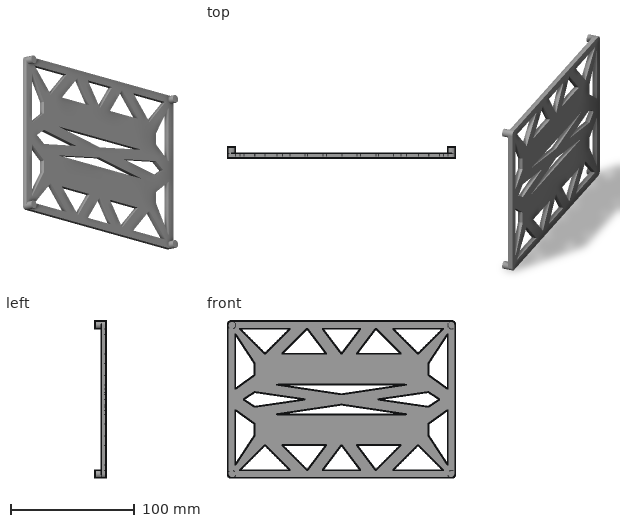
import cadquery as cq

LENGTH = 184.15
HEIGHT = 127.0
PLATE_THICKNESS = 4.0
OVERALL_DEPTH = 9.0

PEG_DIAMETER = 6.35

BORDER = 6.35
INNER_X = LENGTH / 2 - BORDER
INNER_Z = HEIGHT / 2 - BORDER

ROW_DEPTH = 20.2
ROW_Z = INNER_Z - ROW_DEPTH
CORNER_TRIANGLE_X = 61.9
SKEWED_APEX_X = 27.7
SKEWED_INNER_RUN = 15.2
CENTER_TRIANGLE_HALF_WIDTH = 15.2

SIDE_INNER_X = 70.4
SIDE_OUTER_TOP_Z = 52.6
SIDE_INNER_TOP_Z = 29.2
SIDE_INNER_BOTTOM_Z = 19.7
SIDE_OUTER_BOTTOM_Z = 8.7

KITE_OUTER_X = 79.2
KITE_WIDEST_X = 70.2
KITE_INNER_X = 29.8
KITE_HALF_HEIGHT = 5.85

LONG_TRIANGLE_HALF_WIDTH = 52.2
LONG_TRIANGLE_BASE_Z = 12.05
LONG_TRIANGLE_APEX_Z = 4.25


def extrude_back(sketch, depth):
    """Extrude an XZ sketch from the front face towards +Y."""
    return sketch.extrude(-depth)


def make_plate():
    """Cross-shaped slab: the pegs fill its square corner notches and round the corners."""
    wide = cq.Workplane("XZ").rect(LENGTH, HEIGHT - PEG_DIAMETER)
    tall = cq.Workplane("XZ").rect(LENGTH - PEG_DIAMETER, HEIGHT)
    return extrude_back(wide, PLATE_THICKNESS).union(extrude_back(tall, PLATE_THICKNESS))


def make_pegs():
    spacing_x = LENGTH - PEG_DIAMETER
    spacing_z = HEIGHT - PEG_DIAMETER
    centers = cq.Workplane("XZ").rect(spacing_x, spacing_z, forConstruction=True).vertices()
    return extrude_back(centers.circle(PEG_DIAMETER / 2), OVERALL_DEPTH)


def make_window(points, sign_x, sign_z):
    """Through-cutter for an upper right outline, mirrored by the given signs."""
    mirrored = [(sign_x * x, sign_z * z) for x, z in points]
    return extrude_back(cq.Workplane("XZ").polyline(mirrored).close(), PLATE_THICKNESS)


corner_triangle = [
    (CORNER_TRIANGLE_X - ROW_DEPTH, INNER_Z),
    (CORNER_TRIANGLE_X + ROW_DEPTH, INNER_Z),
    (CORNER_TRIANGLE_X, ROW_Z),
]
skewed_triangle = [
    (SKEWED_APEX_X, INNER_Z),
    (SKEWED_APEX_X + ROW_DEPTH, ROW_Z),
    (SKEWED_APEX_X - SKEWED_INNER_RUN, ROW_Z),
]
side_window = [
    (INNER_X, SIDE_OUTER_TOP_Z),
    (SIDE_INNER_X, SIDE_INNER_TOP_Z),
    (SIDE_INNER_X, SIDE_INNER_BOTTOM_Z),
    (INNER_X, SIDE_OUTER_BOTTOM_Z),
]
center_triangle = [
    (-CENTER_TRIANGLE_HALF_WIDTH, INNER_Z),
    (CENTER_TRIANGLE_HALF_WIDTH, INNER_Z),
    (0, ROW_Z),
]
long_triangle = [
    (-LONG_TRIANGLE_HALF_WIDTH, LONG_TRIANGLE_BASE_Z),
    (LONG_TRIANGLE_HALF_WIDTH, LONG_TRIANGLE_BASE_Z),
    (0, LONG_TRIANGLE_APEX_Z),
]
kite = [
    (KITE_OUTER_X, 0),
    (KITE_WIDEST_X, KITE_HALF_HEIGHT),
    (KITE_INNER_X, 0),
    (KITE_WIDEST_X, -KITE_HALF_HEIGHT),
]

result = make_plate().union(make_pegs())

for window in (corner_triangle, skewed_triangle, side_window):
    for sign_x in (1, -1):
        for sign_z in (1, -1):
            result = result.cut(make_window(window, sign_x, sign_z))

for window in (center_triangle, long_triangle):
    for sign_z in (1, -1):
        result = result.cut(make_window(window, 1, sign_z))

for sign_x in (1, -1):
    result = result.cut(make_window(kite, sign_x, 1))